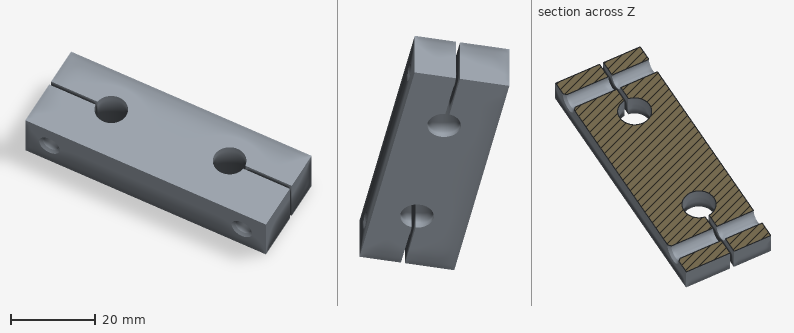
import cadquery as cq

length = 65
depth = 23.0
height = 12.0

bore_diameter = 8.0
bore_spacing = 32.0
bore_offset_y = 1.0
slit_width = 1.0

screw_spacing = 52
screw_diameter = 4.15
countersink_diameter = 5.5
countersink_angle = 90


def clamp_cutter(side):
    """Bore and slit for one end: side is -1 for -X, +1 for +X."""
    bore_x = side * bore_spacing / 2
    slit_length = (length - bore_spacing) / 2
    bore = (
        cq.Workplane("XY")
        .center(bore_x, bore_offset_y)
        .circle(bore_diameter / 2)
        .extrude(height / 2, both=True)
    )
    slit = cq.Workplane("XY").box(slit_length, slit_width, height)
    slit_center_x = bore_x + side * slit_length / 2
    return bore.union(slit.translate((slit_center_x, bore_offset_y, 0)))


result = cq.Workplane("XY").box(length, depth, height)

for side in (-1, 1):
    result = result.cut(clamp_cutter(side))

result = (
    result.faces("<Y")
    .workplane(origin=(0, -depth / 2, 0))
    .pushPoints([(-screw_spacing / 2, 0), (screw_spacing / 2, 0)])
    .cskHole(screw_diameter, countersink_diameter, countersink_angle)
)